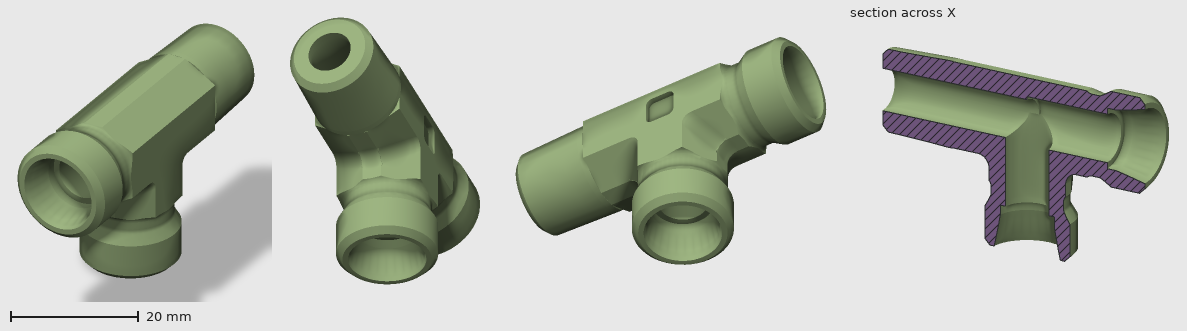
import cadquery as cq
import math


across_flats = 14.0
half_width = across_flats / 2
body_half_height = 7.2
flat_half_height = half_width * math.tan(math.radians(30))
land_half_width = (2 * flat_half_height - body_half_height) * math.tan(math.radians(60))
crotch_radius = 2.0
selection_margin = 0.1
body_end = 11.0
stud_shoulder = 14.0

port_end = 22.0
port_radius = 16.0 / 2
port_chamfer = 1.0
groove_radius = 13.7 / 2
groove_fillet = 1.0
groove_end = 13.4
groove_start = body_end + groove_fillet
fillet_center_radius = groove_radius + groove_fillet
runout_angle = math.radians(30)
seat_mouth_radius = 12.3 / 2
seat_half_angle = math.radians(12)
tube_radius = 10.0 / 2
tube_socket_depth = 7.0
port_bore_radius = 8.0 / 2

stud_end = 27.0
stud_radius = 14.53 / 2
stud_collar_length = 1.0
stud_collar_end = stud_shoulder + stud_collar_length
stud_chamfer = 1.0
taper_ratio = 1 / 16
stud_bore_radius = 7.0 / 2

panel_size = 5.0
panel_corner_radius = 1.0
panel_depth = 1.0


def hex_bar(plane, length):
    """Bar with the truncated hexagonal section, extruded from the plane."""
    land = 2 * land_half_width
    section = (
        cq.Workplane(plane)
        .moveTo(-land_half_width, body_half_height)
        .hLine(land)
        .lineTo(half_width, flat_half_height)
        .vLineTo(-flat_half_height)
        .lineTo(land_half_width, -body_half_height)
        .hLine(-land)
        .lineTo(-half_width, -flat_half_height)
        .vLineTo(flat_half_height)
    )
    return section.close().extrude(length)


def revolve_about_z(profile):
    """Close a half section drawn in the XZ plane and spin it about Z."""
    return profile.close().revolve(360, (0, 0, 0), (0, 1, 0))


def run_to_front(shape):
    """Turn a shape built along +Z so that it points along -Y."""
    return shape.rotate((0, 0, 0), (1, 0, 0), 90)


def run_to_back(shape):
    """Turn a shape built along +Z so that it points along +Y."""
    return shape.rotate((0, 0, 0), (1, 0, 0), -90)


def branch_down(shape):
    """Turn a shape built along +Z so that it points along -Z."""
    return shape.rotate((0, 0, 0), (1, 0, 0), 180)


def edges_in_crotch(body, side):
    """Inside edges where run and branch meet, on the +Y (1) or -Y (-1) side of the branch."""
    x_limit = half_width + selection_margin
    inner = flat_half_height - selection_margin
    outer = body_half_height + selection_margin
    box = cq.selectors.BoxSelector(
        (-x_limit, side * inner, -outer),
        (x_limit, side * outer, -inner),
        boundingbox=True,
    )
    return body.edges(box).vals()


def make_body():
    """Run and branch bars joined, with their inside corners rounded."""
    run_plane = cq.Plane(origin=(0, -groove_start, 0), xDir=(-1, 0, 0), normal=(0, 1, 0))
    run = hex_bar(run_plane, groove_start + stud_shoulder)
    branch_plane = cq.Plane(origin=(0, 0, 0), xDir=(1, 0, 0), normal=(0, 0, -1))
    body = run.union(hex_bar(branch_plane, groove_start))
    crotch_edges = edges_in_crotch(body, 1) + edges_in_crotch(body, -1)
    return body.newObject(crotch_edges).fillet(crotch_radius)


def make_body_end_relief():
    """Ring along +Z whose removal leaves a concave round from the hexagon to the groove."""
    outer_radius = across_flats
    diagonal = groove_fillet * math.sqrt(0.5)
    arc_middle = (fillet_center_radius - diagonal, groove_start - diagonal)
    profile = (
        cq.Workplane("XZ")
        .moveTo(groove_radius, groove_start)
        .threePointArc(arc_middle, (fillet_center_radius, body_end))
        .lineTo(outer_radius, body_end)
        .lineTo(outer_radius, groove_start)
    )
    return revolve_about_z(profile)


def make_port():
    """Threaded tube port along +Z, starting at the bottom of its undercut groove."""
    half_angle = runout_angle / 2
    arc_middle = (
        fillet_center_radius - groove_fillet * math.cos(half_angle),
        groove_end + groove_fillet * math.sin(half_angle),
    )
    runout_radius = fillet_center_radius - groove_fillet * math.cos(runout_angle)
    runout_start = groove_end + groove_fillet * math.sin(runout_angle)
    runout_end = runout_start + (port_radius - runout_radius) / math.tan(runout_angle)
    profile = (
        cq.Workplane("XZ")
        .moveTo(0, groove_start)
        .lineTo(groove_radius, groove_start)
        .lineTo(groove_radius, groove_end)
        .threePointArc(arc_middle, (runout_radius, runout_start))
        .lineTo(port_radius, runout_end)
        .lineTo(port_radius, port_end - port_chamfer)
        .lineTo(port_radius - port_chamfer, port_end)
        .lineTo(0, port_end)
    )
    return revolve_about_z(profile)


def make_port_bore():
    """Bore along +Z from the centre, opening into the tube socket and its conical seat."""
    seat_depth = (seat_mouth_radius - tube_radius) / math.tan(seat_half_angle)
    socket_floor = port_end - tube_socket_depth
    profile = (
        cq.Workplane("XZ")
        .lineTo(port_bore_radius, 0)
        .lineTo(port_bore_radius, socket_floor)
        .lineTo(tube_radius, socket_floor)
        .lineTo(tube_radius, port_end - seat_depth)
        .lineTo(seat_mouth_radius, port_end)
        .lineTo(0, port_end)
    )
    return revolve_about_z(profile)


def make_stud():
    """Taper stud along +Z with a straight collar at the body."""
    taper_end = stud_end - stud_chamfer
    tip_radius = stud_radius - (taper_end - stud_collar_end) * taper_ratio / 2
    profile = (
        cq.Workplane("XZ")
        .moveTo(0, stud_shoulder)
        .lineTo(stud_radius, stud_shoulder)
        .lineTo(stud_radius, stud_collar_end)
        .lineTo(tip_radius, taper_end)
        .lineTo(tip_radius - stud_chamfer, stud_end)
        .lineTo(0, stud_end)
    )
    return revolve_about_z(profile)


def make_stud_bore():
    """Plain bore along +Z from the centre through the stud."""
    return cq.Workplane("XY").circle(stud_bore_radius).extrude(stud_end)


def make_panel():
    """Rounded square pocket sunk into the -X flat."""
    flat = cq.Workplane("YZ", origin=(-half_width, 0, 0))
    panel = flat.rect(panel_size, panel_size).extrude(panel_depth)
    return panel.edges("|X").fillet(panel_corner_radius)


body = make_body()
for place in (run_to_front, branch_down):
    body = body.cut(place(make_body_end_relief()))
    body = body.union(place(make_port()))
body = body.union(run_to_back(make_stud()))

for place in (run_to_front, branch_down):
    body = body.cut(place(make_port_bore()))
body = body.cut(run_to_back(make_stud_bore()))

result = body.cut(make_panel())